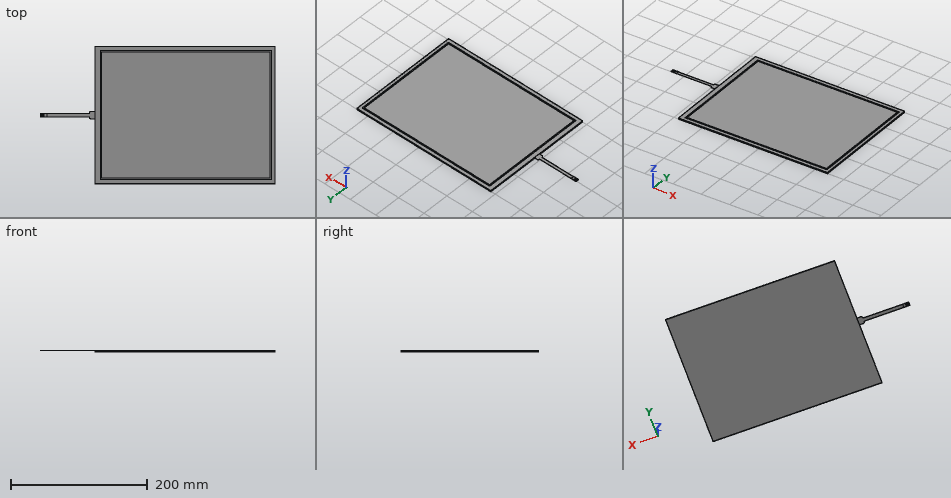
import cadquery as cq

total_length = 343.0
total_height = 2.6

panel_width = 201.0
panel_thickness = 2.2
tail_length = 79.5
panel_length = total_length - tail_length

groove_left_margin = 8.0
groove_right_margin = 5.0
groove_side_margin = 6.2
groove_width = 2.0
groove_depth = 0.5

tail_width = 5.5
tail_thickness = 0.1
neck_length = 8.2
neck_width = 11.3
neck_corner_radius = 2.7

stiffener_length = 9.5
stiffener_height = total_height - panel_thickness

contact_count = 4
contact_length = 5.5
contact_width = 0.7
contact_pitch = 1.0
contact_height = 0.07


def block(x_start, length, width, z_start, height):
    """Box centred on Y, placed by its lowest X and lowest Z."""
    return (
        cq.Workplane("XY")
        .box(length, width, height, centered=(False, True, False))
        .translate((x_start, 0, z_start))
    )


def make_groove():
    """Rectangular ring that is cut into the top of the panel."""
    outer_start = tail_length + groove_left_margin
    outer_length = panel_length - groove_left_margin - groove_right_margin
    outer_width = panel_width - 2 * groove_side_margin
    floor = panel_thickness - groove_depth
    outer = block(outer_start, outer_length, outer_width, floor, groove_depth)
    inner = block(
        outer_start + groove_width,
        outer_length - 2 * groove_width,
        outer_width - 2 * groove_width,
        floor,
        groove_depth,
    )
    return outer.cut(inner)


def make_panel():
    """Flat touch panel with the border groove."""
    plate = block(tail_length, panel_length, panel_width, 0, panel_thickness)
    return plate.cut(make_groove())


def make_tail():
    """Thin strip with a wide neck against the panel edge, a stiffened tip and contacts below it."""
    tail_bottom = panel_thickness - tail_thickness
    strip = block(0, tail_length, tail_width, tail_bottom, tail_thickness)
    neck = block(tail_length - neck_length, neck_length, neck_width, tail_bottom, tail_thickness)
    neck = neck.edges("|Z and <X").fillet(neck_corner_radius)
    stiffener = block(0, stiffener_length, tail_width, panel_thickness, stiffener_height)
    tail_body = strip.union(neck).union(stiffener)
    for index in range(contact_count):
        y_centre = (index - (contact_count - 1) / 2) * contact_pitch
        contact = block(0, contact_length, contact_width, tail_bottom - contact_height, contact_height)
        tail_body = tail_body.union(contact.translate((0, y_centre, 0)))
    return tail_body


panel = make_panel()
tail = make_tail()

result = cq.Compound.makeCompound([panel.val(), tail.val()])